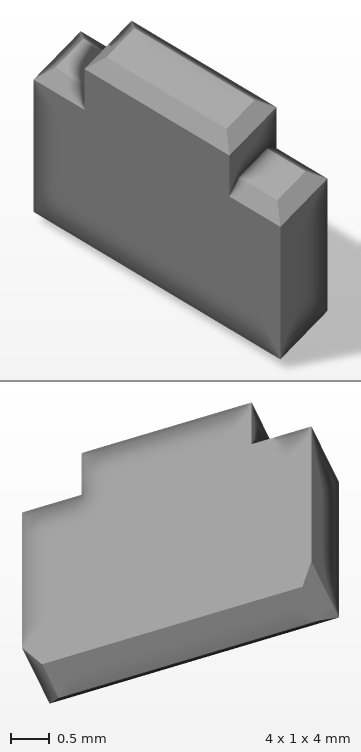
import cadquery as cq

body_width = 4.0
thickness = 1.0
total_height = 4.0
shoulder_height = 3.15
tab_width = 2.35
chamfer = 0.2


def make_body():
    """Wide block with chamfered top and bottom rims."""
    block = cq.Workplane("XY").box(
        body_width, thickness, shoulder_height, centered=(True, True, False)
    )
    return block.faces("<Z or >Z").chamfer(chamfer)


def make_tab():
    """Narrow block rising from mid-height of the body, with a chamfered top rim."""
    tab_base = shoulder_height / 2
    block = (
        cq.Workplane("XY")
        .workplane(offset=tab_base)
        .box(tab_width, thickness, total_height - tab_base, centered=(True, True, False))
    )
    return block.faces(">Z").chamfer(chamfer)


result = make_body().union(make_tab())